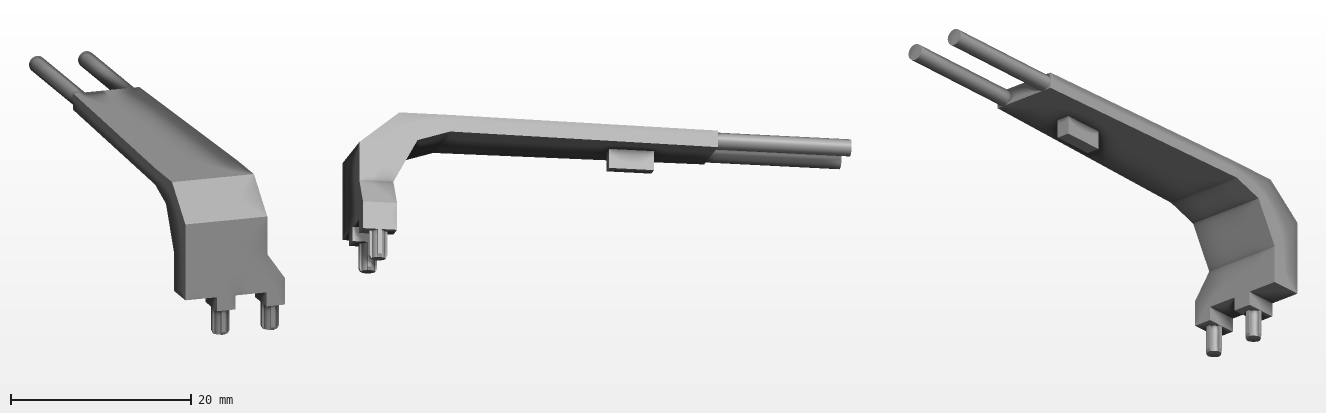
import cadquery as cq

LENGTH = 55.9
HEIGHT = 17.15
TOTAL_WIDTH = 11.7

ARM_START = 15.15
ARM_END = 45.6
ARM_THICKNESS = 1.9
ARM_WIDTH = 9.6
ARM_TIP_WIDTH = 7.75
CENTER_Y = ARM_WIDTH / 2
ARM_BOTTOM = HEIGHT - ARM_THICKNESS

ROD_DIAMETER = ARM_THICKNESS
ROD_PITCH = 5.75

TAB_START = 21.75
TAB_LENGTH = 5.1
TAB_WIDTH = 1.55
TAB_HEIGHT = 2.2

FOOT_THICKNESS = 3.85
FOOT_START = LENGTH - FOOT_THICKNESS
FOOT_TOP = 9.15
BEVEL_LENGTH = 4.5
BEVEL_DROP = 3.65
KNEE_X = 49.3
KNEE_Z = 14.1

SHOULDER_Z = 6.2
STEP_Z = 4.75
LEG_WIDTH = 2.2
LEG_PITCH = 5.8
OUTER_LEG_Y = TOTAL_WIDTH - LEG_WIDTH / 2
INNER_LEG_Y = OUTER_LEG_Y - LEG_PITCH

PIN_LENGTH = 3.15
PIN_SPAN = 2.0
PIN_CORE_DIAMETER = 1.55
PIN_RIB_WIDTH = 0.45
PIN_TIP_INSET = 0.15
PIN_TIP_HEIGHT = 0.35
PIN_X = LENGTH - FOOT_THICKNESS / 2


def make_arm():
    """Flat plate whose width grows evenly from the rods to the elbow."""
    outline = [
        (ARM_START, CENTER_Y - ARM_TIP_WIDTH / 2),
        (ARM_END, 0),
        (ARM_END, ARM_WIDTH),
        (ARM_START, CENTER_Y + ARM_TIP_WIDTH / 2),
    ]
    return cq.Workplane("XY").workplane(offset=ARM_BOTTOM).polyline(outline).close().extrude(ARM_THICKNESS)


def make_rod(y):
    """Round rod along X that butts against the arm tip."""
    return (
        cq.Workplane("YZ")
        .center(y, HEIGHT - ROD_DIAMETER / 2)
        .circle(ROD_DIAMETER / 2)
        .extrude(ARM_START)
    )


def make_tab():
    """Small block hanging under the middle of the arm."""
    return cq.Workplane("XY").box(TAB_LENGTH, TAB_WIDTH, TAB_HEIGHT, centered=(False, True, False)).translate(
        (TAB_START, CENTER_Y, ARM_BOTTOM - TAB_HEIGHT)
    )


def make_elbow():
    """Bent piece that turns the arm down into the foot."""
    profile = [
        (ARM_END, HEIGHT),
        (LENGTH - BEVEL_LENGTH, HEIGHT),
        (LENGTH, HEIGHT - BEVEL_DROP),
        (LENGTH, FOOT_TOP),
        (FOOT_START, FOOT_TOP),
        (KNEE_X, KNEE_Z),
        (ARM_END, ARM_BOTTOM),
    ]
    return cq.Workplane("XZ").polyline(profile).close().extrude(-ARM_WIDTH)


def make_foot():
    """Upright plate with a sloped shoulder and two short legs."""
    half_leg = LEG_WIDTH / 2
    profile = [
        (0, FOOT_TOP),
        (0, STEP_Z),
        (INNER_LEG_Y - half_leg, STEP_Z),
        (INNER_LEG_Y - half_leg, PIN_LENGTH),
        (INNER_LEG_Y + half_leg, PIN_LENGTH),
        (INNER_LEG_Y + half_leg, STEP_Z),
        (OUTER_LEG_Y - half_leg, STEP_Z),
        (OUTER_LEG_Y - half_leg, PIN_LENGTH),
        (TOTAL_WIDTH, PIN_LENGTH),
        (TOTAL_WIDTH, SHOULDER_Z),
        (ARM_WIDTH, FOOT_TOP),
    ]
    return cq.Workplane("YZ").workplane(offset=FOOT_START).polyline(profile).close().extrude(FOOT_THICKNESS)


def make_pin(y):
    """Round core crossed by two flat webs that form four ribs, each tapered at its tip."""
    half_span = PIN_SPAN / 2
    half_tip = half_span - PIN_TIP_INSET
    web_profile = [
        (-half_tip, 0),
        (half_tip, 0),
        (half_span, PIN_TIP_HEIGHT),
        (half_span, PIN_LENGTH),
        (-half_span, PIN_LENGTH),
        (-half_span, PIN_TIP_HEIGHT),
    ]
    pin = cq.Workplane("XY").circle(PIN_CORE_DIAMETER / 2).extrude(PIN_LENGTH)
    for plane in ("XZ", "YZ"):
        web = cq.Workplane(plane).polyline(web_profile).close().extrude(PIN_RIB_WIDTH / 2, both=True)
        pin = pin.union(web)
    return pin.translate((PIN_X, y, 0))


arm = make_arm()
tab = make_tab()
elbow = make_elbow()
foot = make_foot()
rods = [make_rod(CENTER_Y + side * ROD_PITCH / 2) for side in (-1, 1)]
pins = [make_pin(y) for y in (INNER_LEG_Y, OUTER_LEG_Y)]

bodies = [arm, tab, elbow, foot, *rods, *pins]
result = cq.Compound.makeCompound([body.val() for body in bodies])